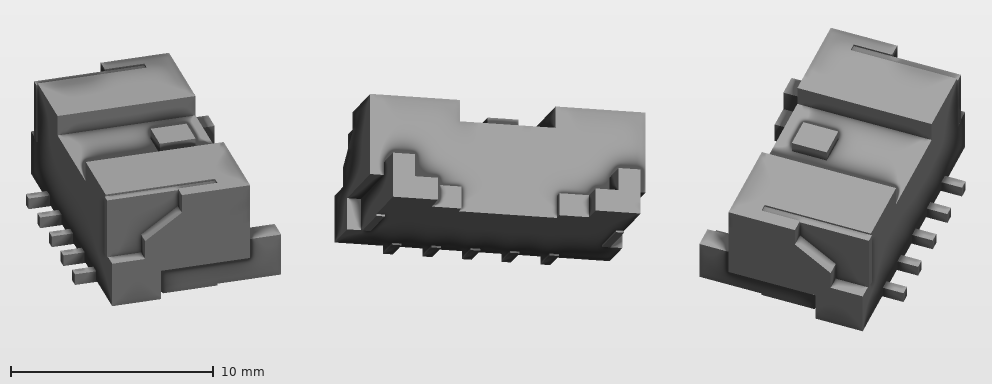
import cadquery as cq


body_width = 14.0
body_depth = 7.1
body_height = 5.7
standoff = 0.1

channel_width = 4.86
channel_depth = 1.09
key_width = 1.58
key_length = 1.85
key_height = 0.56
key_back_gap = 0.95

side_depth = 0.7
plate_thickness = 0.42
plate_length = 5.61
plate_overhang = 0.05
plate_recess = 0.1
tab_length = 2.8

cutout_length = 3.58
cutout_short_length = 1.7
cutout_slope_start = 1.0
cutout_slope_end = 2.3
cutout_depth = 3.3

notch_height = 1.6
notch_front = 2.5

ledge_length = 1.8
ledge_height = 2.25
ledge_wall = 1.12
floor_height = ledge_height / 2
floor_width = 2.3
floor_short_length = 0.52
floor_inner_x = 2.49

lead_count = 5
lead_pitch = 2.0
lead_width = 0.49
lead_height = 0.6
lead_overhang = 1.09
lead_length = 1.74

side_x = body_width / 2 - side_depth
plate_inner_x = side_x - plate_thickness
cutout_bottom = body_height - cutout_depth


def box(x_min, x_max, y_min, y_max, z_min, z_max):
    size = (x_max - x_min, y_max - y_min, z_max - z_min)
    return cq.Workplane("XY").box(*size, centered=False).translate((x_min, y_min, z_min))


def both_sides(right_half):
    return right_half.union(right_half.mirror("YZ"))


def make_housing():
    """Block with the top channel and its key."""
    housing = box(-body_width / 2, body_width / 2, 0, body_depth, 0, body_height)
    channel_floor = body_height - channel_depth
    channel = box(-channel_width / 2, channel_width / 2, 0, body_depth, channel_floor, body_height)
    key_back = body_depth - key_back_gap
    key = box(
        -key_width / 2, key_width / 2,
        key_back - key_length, key_back,
        channel_floor, channel_floor + key_height,
    )
    return housing.cut(channel).union(key)


def make_side_cutout():
    """Stepped and sloped pocket in the upper front of the right side."""
    return (
        cq.Workplane("YZ", origin=(side_x, 0, 0))
        .moveTo(0, body_height)
        .lineTo(cutout_length, body_height)
        .lineTo(cutout_length, body_height - cutout_slope_start)
        .lineTo(cutout_short_length, body_height - cutout_slope_end)
        .lineTo(cutout_short_length, cutout_bottom)
        .lineTo(0, cutout_bottom)
        .close()
        .extrude(side_depth)
    )


def make_side_notch():
    """Notch in the lower back of the right side."""
    return box(side_x, body_width / 2, notch_front, body_depth, 0, notch_height)


def make_plate_slot():
    """Shallow slot that leaves the plate top below the housing top."""
    return box(plate_inner_x, side_x, 0, plate_length, body_height - plate_recess, body_height)


def make_plate():
    """Right plate and the solder tab below its back end."""
    plate = box(
        plate_inner_x, side_x,
        -plate_overhang, plate_length,
        cutout_bottom, body_height - plate_recess,
    )
    tab = box(
        plate_inner_x, side_x,
        plate_length - tab_length, plate_length,
        -standoff, notch_height,
    )
    return plate.union(tab)


def make_ledge():
    """Right back ledge."""
    floor_x = side_x - floor_width
    ledge_back = body_depth + ledge_length
    wall = box(side_x - ledge_wall, side_x, body_depth, ledge_back, 0, ledge_height)
    long_floor = box(floor_x, side_x, body_depth, ledge_back, 0, floor_height)
    short_floor = box(
        floor_inner_x, side_x,
        body_depth, body_depth + floor_short_length,
        0, floor_height,
    )
    return wall.union(long_floor).union(short_floor)


def make_lead(center_x):
    return box(
        center_x - lead_width / 2, center_x + lead_width / 2,
        -lead_overhang, lead_length - lead_overhang,
        -standoff, lead_height - standoff,
    )


result = make_housing()
for side_cut in (make_side_cutout(), make_side_notch(), make_plate_slot()):
    result = result.cut(both_sides(side_cut))
result = result.union(both_sides(make_plate())).union(both_sides(make_ledge()))
for index in range(lead_count):
    result = result.union(make_lead((index - (lead_count - 1) / 2) * lead_pitch))